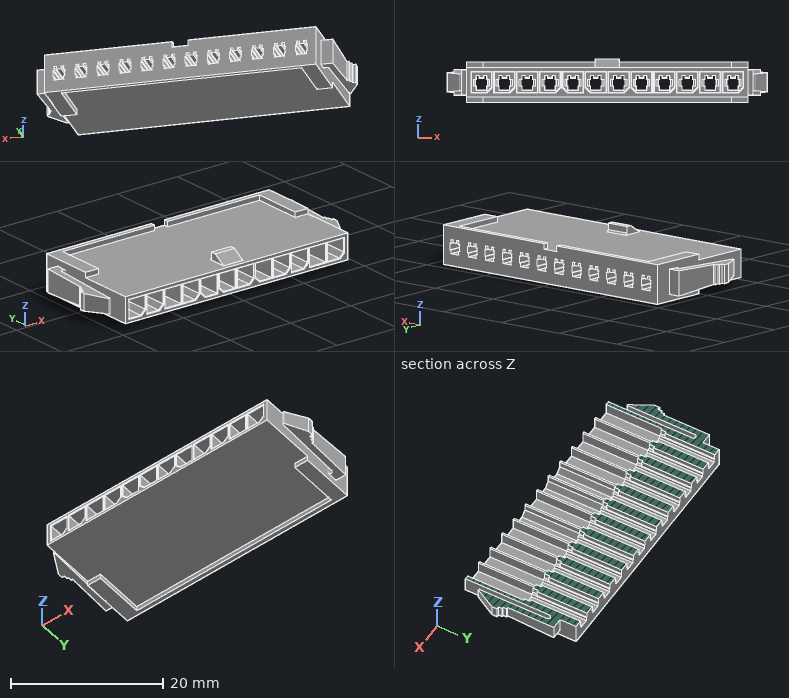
import cadquery as cq

latch_span = 42.05
body_width = 36.95
body_depth = 16.9
thick_height = 5.35
total_height = 5.7

rim_height = 0.75
rim_side_length = 8.35
rim_side_width = 2.15
rim_back_width = 0.7
rim_gap = 2.15
slim_height = thick_height - 2 * rim_height
slim_top = rim_height + slim_height

cell_span = 33.0
cell_width = 2.65
cell_height = 2.7
cell_bottom = 1.3
cell_depth = body_depth - rim_side_length
cell_key = 0.7
lead_in = 0.1
cell_keys = "RRNRLLRLRRNR"
cell_pitch = cell_span / (len(cell_keys) - 1)

passage_width = 1.35
passage_bottom = 1.65
passage_top = 3.55
tab_width = 0.65
tab_bottom = 3.15
tab_bevel = 0.13
slot_bottom = 2.15
slot_height = 0.9
slot_width = 1.6
slot_recess_width = 2.15
slot_recess_depth = 0.75

ramp_width = 3.2
ramp_front = 0.75
ramp_crest = 2.52
ramp_back = 3.32
ramp_root = 0.25

latch_root_y = 14.45
latch_gap_y = 13.1
latch_gap = 0.65
latch_arm = 1.0
latch_step = 0.25
latch_step_y = (7.45, 6.9, 6.35)
latch_nose_y = 5.55
latch_tip_y = 2.45
latch_tip_width = 0.25
latch_tip_bulge = 0.1
latch_mid_z = 2.65
latch_root_height = 3.4
latch_tip_height = 2.2


def block(x0, x1, y0, y1, z0, z1):
    """Axis-aligned box between two opposite corners."""
    return cq.Workplane("XY").box(x1 - x0, y1 - y0, z1 - z0, centered=False).translate((x0, y0, z0))


def centred_block(x, width, y0, y1, z0, z1):
    """Axis-aligned box centred on x."""
    return block(x - width / 2, x + width / 2, y0, y1, z0, z1)


def make_body():
    """Slim slab with a U-shaped rim on both faces; the upper rim has a gap at the back."""
    body = centred_block(0, body_width, 0, body_depth, rim_height, slim_top)
    rim_front = body_depth - rim_side_length
    rim = centred_block(0, body_width, rim_front, body_depth, 0, thick_height)
    inner_width = body_width - 2 * rim_side_width
    inner_back = body_depth - rim_back_width
    for z0, z1 in ((0, rim_height), (slim_top, thick_height)):
        rim = rim.cut(centred_block(0, inner_width, rim_front, inner_back, z0, z1))
    rim = rim.cut(centred_block(0, rim_gap, inner_back, body_depth, slim_top, thick_height))
    return body.union(rim)


def cell_outline(y, margin, key):
    """Rectangular XZ wire at depth y, grown by margin, with an optional keyed lower corner."""
    half = cell_width / 2 + margin
    z0 = cell_bottom - margin
    z1 = cell_bottom + cell_height + margin
    right = [(half, z0)]
    left = [(-half, z0)]
    if key == "R":
        right = [(half - cell_key, z0), (half, z0 + cell_key)]
    if key == "L":
        left = [(-half, z0 + cell_key), (-half + cell_key, z0)]
    points = left + right + [(half, z1), (-half, z1)]
    return cq.Wire.makePolygon([cq.Vector(x, y, z) for x, z in points], close=True)


def make_passage():
    """Through opening with stepped side slots and a bevelled tab hanging from its top."""
    back = body_depth
    passage = centred_block(0, passage_width, cell_depth, back, passage_bottom, passage_top)
    tab = (
        cq.Workplane("YZ")
        .moveTo(cell_depth, passage_top)
        .lineTo(cell_depth, tab_bottom + tab_bevel)
        .lineTo(cell_depth + tab_bevel, tab_bottom)
        .lineTo(back, tab_bottom)
        .lineTo(back, passage_top)
        .close()
        .extrude(tab_width / 2, both=True)
    )
    slot_top = slot_bottom + slot_height
    slot = centred_block(0, slot_width, cell_depth, back, slot_bottom, slot_top)
    recess_end = cell_depth + slot_recess_depth
    recess = centred_block(0, slot_recess_width, cell_depth, recess_end, slot_bottom, slot_top)
    return passage.cut(tab).union(slot).union(recess)


def make_cell(key):
    """Cavity with a bevelled mouth, joined to its terminal passage."""
    wire = cell_outline(0, 0, key)
    cavity = cq.Solid.extrudeLinear(wire, [], cq.Vector(0, cell_depth, 0))
    mouth = cq.Solid.makeLoft([cell_outline(0, lead_in, key), cell_outline(lead_in, 0, key)], True)
    return cq.Workplane(cavity).union(cq.Workplane(mouth)).union(make_passage())


def make_ramp():
    """Locking ramp rising from the front, with a bevelled root behind it."""
    return (
        cq.Workplane("YZ")
        .moveTo(ramp_front, slim_top)
        .lineTo(ramp_crest, total_height)
        .lineTo(ramp_back, total_height)
        .lineTo(ramp_back, slim_top + ramp_root)
        .lineTo(ramp_back + ramp_root, slim_top)
        .close()
        .extrude(ramp_width / 2, both=True)
    )


def make_latch():
    """Flexible +X arm: stepped hook, rounded tip and slot end, height tapering to the tip."""
    wall = body_width / 2
    inner = wall + latch_gap
    outer = inner + latch_arm
    nose = latch_span / 2
    tip_start = latch_tip_y + latch_tip_bulge
    step_1, step_2, step_3 = latch_step_y
    profile = (
        cq.Workplane("XY")
        .moveTo(wall, latch_root_y)
        .lineTo(outer, latch_root_y)
        .lineTo(outer, step_1)
        .lineTo(outer + latch_step, step_1)
        .lineTo(outer + latch_step, step_2)
        .lineTo(outer + 2 * latch_step, step_2)
        .lineTo(outer + 2 * latch_step, step_3)
        .lineTo(nose, step_3)
        .lineTo(nose, latch_nose_y)
        .lineTo(inner + latch_tip_width, tip_start)
        .threePointArc((inner + latch_tip_width / 2, latch_tip_y), (inner, tip_start))
        .lineTo(inner, latch_gap_y - latch_gap / 2)
        .threePointArc((wall + latch_gap / 2, latch_gap_y), (wall, latch_gap_y - latch_gap / 2))
        .close()
        .extrude(thick_height)
    )
    taper = (
        cq.Workplane("YZ")
        .polyline([
            (latch_root_y, latch_mid_z - latch_root_height / 2),
            (latch_root_y, latch_mid_z + latch_root_height / 2),
            (latch_tip_y, latch_mid_z + latch_tip_height / 2),
            (latch_tip_y, latch_mid_z - latch_tip_height / 2),
        ])
        .close()
        .extrude(latch_span)
    )
    return profile.intersect(taper)


result = make_body()
for index, key in enumerate(cell_keys):
    cell_x = index * cell_pitch - cell_span / 2
    result = result.cut(make_cell(key).translate((cell_x, 0, 0)))

result = result.union(make_ramp())
latch = make_latch()
result = result.union(latch).union(latch.mirror("YZ"))